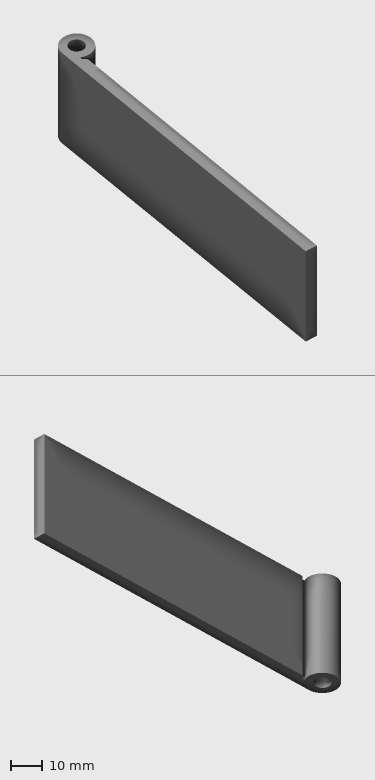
import cadquery as cq
import math

length = 132.0
height = 38.0
barrel_diameter = 12.0
pin_hole_diameter = 6.0
leaf_thickness = 4.6

relief_floor = 3.2
relief_floor_end = 6.2

barrel_radius = barrel_diameter / 2
leaf_end = length - barrel_radius
outer_face = -barrel_radius
inner_face = outer_face + leaf_thickness
floor_y = outer_face + relief_floor
floor_start = math.sqrt(barrel_radius**2 - floor_y**2)
bevel_end = relief_floor_end + leaf_thickness - relief_floor


def make_hinge_body():
    """Extrude the rolled barrel and flat leaf as one outline."""
    return (
        cq.Workplane("XY")
        .moveTo(0, outer_face)
        .lineTo(leaf_end, outer_face)
        .lineTo(leaf_end, inner_face)
        .lineTo(bevel_end, inner_face)
        .lineTo(relief_floor_end, floor_y)
        .lineTo(floor_start, floor_y)
        .threePointArc((-barrel_radius, 0), (0, outer_face))
        .close()
        .extrude(height)
    )


def make_pin_hole():
    """Cylinder removed along the full height of the barrel."""
    return cq.Workplane("XY").circle(pin_hole_diameter / 2).extrude(height)


result = make_hinge_body().cut(make_pin_hole())